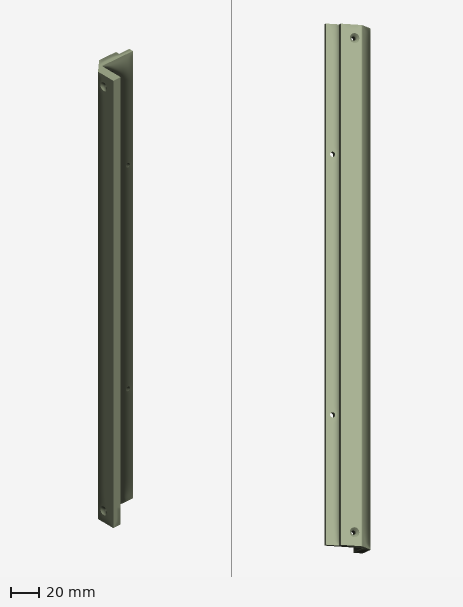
import cadquery as cq

LENGTH = 377.0
WIDTH = 27.0
DEPTH = 37.0
LEG_THICKNESS = 7.0
CORNER_CHAMFER = 11.0
CHAMFER_ROUNDING = 1.5
LIP_HEIGHT = 9.8
LIP_STEP = 3.5

JOINT_Z = 189.2

SCREW_END_DISTANCE = 9.8
SCREW_X = 17.0
SCREW_Y = 16.5
SCREW_DIAMETER = 3.0
COUNTERSINK_DIAMETER = 7.0
COUNTERSINK_ANGLE = 90

LIP_HOLE_DIAMETER = 3.8
LIP_HOLE_Y = DEPTH - LIP_HEIGHT / 2
LIP_HOLE_END_DISTANCE = 94.2


def angle_blank(bottom_z, top_z):
    """L-section with an edge-rounded corner flat and a stepped lip."""
    outline = [
        (CORNER_CHAMFER, 0),
        (WIDTH, 0),
        (WIDTH, LEG_THICKNESS),
        (LEG_THICKNESS, LEG_THICKNESS),
        (LEG_THICKNESS, DEPTH),
        (LIP_STEP, DEPTH),
        (LIP_STEP, DEPTH - LIP_HEIGHT),
        (0, DEPTH - LIP_HEIGHT),
        (0, CORNER_CHAMFER),
    ]
    blank = (
        cq.Workplane("XY", origin=(0, 0, bottom_z))
        .polyline(outline)
        .close()
        .extrude(top_z - bottom_z)
    )
    middle_z = (bottom_z + top_z) / 2
    for x, y in [(CORNER_CHAMFER, 0), (0, CORNER_CHAMFER)]:
        corner_edge = cq.selectors.NearestToPointSelector((x, y, middle_z))
        blank = blank.edges("|Z").edges(corner_edge).fillet(CHAMFER_ROUNDING)
    return blank


def countersunk_hole(body, centre, inward):
    """Cut a countersunk hole through a leg, entering at its outer face."""
    face = cq.Plane(origin=centre, xDir=(0, 0, 1), normal=tuple(-part for part in inward))
    return body.copyWorkplane(cq.Workplane(face)).cskHole(
        SCREW_DIAMETER, COUNTERSINK_DIAMETER, COUNTERSINK_ANGLE, depth=LEG_THICKNESS
    )


def angle_length(bottom_z, top_z, screw_z, lip_hole_z):
    """One length of the angle with its screw holes and lip hole."""
    body = angle_blank(bottom_z, top_z)
    body = countersunk_hole(body, (SCREW_X, 0, screw_z), inward=(0, 1, 0))
    body = countersunk_hole(body, (0, SCREW_Y, screw_z), inward=(1, 0, 0))
    lip_hole = (
        cq.Workplane("YZ", origin=(0, LIP_HOLE_Y, lip_hole_z))
        .circle(LIP_HOLE_DIAMETER / 2)
        .extrude(LEG_THICKNESS)
    )
    return body.cut(lip_hole)


length_spans = [
    (0, JOINT_Z, SCREW_END_DISTANCE, LIP_HOLE_END_DISTANCE),
    (JOINT_Z, LENGTH, LENGTH - SCREW_END_DISTANCE, LENGTH - LIP_HOLE_END_DISTANCE),
]
angle_lengths = [angle_length(*span).val() for span in length_spans]

result = cq.Compound.makeCompound(angle_lengths)